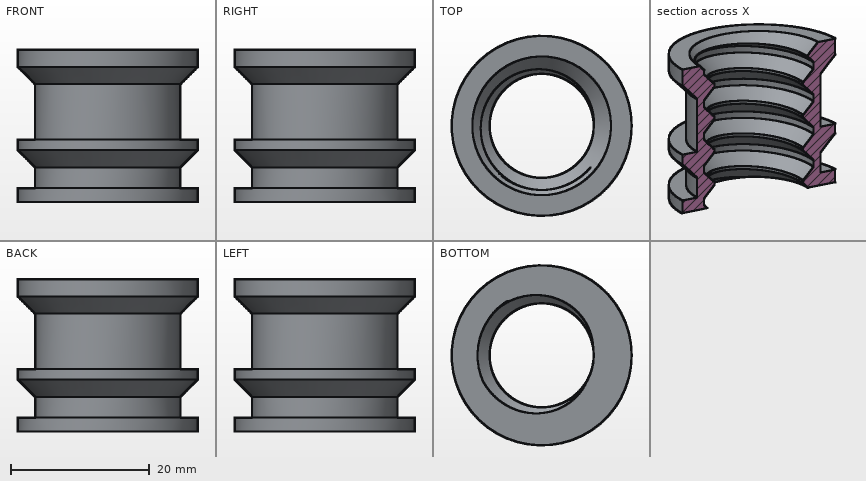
import cadquery as cq

flange_radius = 13.0
core_radius = 10.5
bottom_flange_top = 2.0
middle_cone_bottom = 5.0
middle_flange_bottom = 7.5
middle_flange_top = 9.0
top_cone_bottom = 17.0
top_flange_bottom = 19.5
height = 22.0

bore_radius = 7.5
mouth_radius = 10.0
mouth_depth = mouth_radius - bore_radius

thread_pitch = 5.0
thread_root_radius = 9.25
thread_root_width = 1.0
thread_start_angle = -22.0
thread_turns = 5
bore_overlap = 0.1


def make_body():
    """Revolve the flanged outer wall together with the bore and its mouth."""
    outline = [
        (bore_radius, 0),
        (flange_radius, 0),
        (flange_radius, bottom_flange_top),
        (core_radius, bottom_flange_top),
        (core_radius, middle_cone_bottom),
        (flange_radius, middle_flange_bottom),
        (flange_radius, middle_flange_top),
        (core_radius, middle_flange_top),
        (core_radius, top_cone_bottom),
        (flange_radius, top_flange_bottom),
        (flange_radius, height),
        (mouth_radius, height),
        (bore_radius, height - mouth_depth),
    ]
    return cq.Workplane("XZ").polyline(outline).close().revolve(360, (0, 0), (0, 1))


def make_thread_cutter():
    """Sweep the trapezoidal groove from the top face down past the bottom face."""
    inner_radius = bore_radius - bore_overlap
    root_half_width = thread_root_width / 2
    mouth_half_width = root_half_width + thread_root_radius - inner_radius
    cutter_length = thread_turns * thread_pitch
    cutter_bottom = height - cutter_length

    helix = cq.Wire.makeHelix(thread_pitch, cutter_length, bore_radius)
    groove = [
        (inner_radius, -mouth_half_width),
        (thread_root_radius, -root_half_width),
        (thread_root_radius, root_half_width),
        (inner_radius, mouth_half_width),
    ]
    cutter = cq.Workplane("XZ").polyline(groove).close().sweep(cq.Workplane(helix), isFrenet=True)

    cutter = cutter.rotate((0, 0, 0), (0, 0, 1), thread_start_angle)
    return cutter.translate((0, 0, cutter_bottom))


result = make_body().cut(make_thread_cutter())